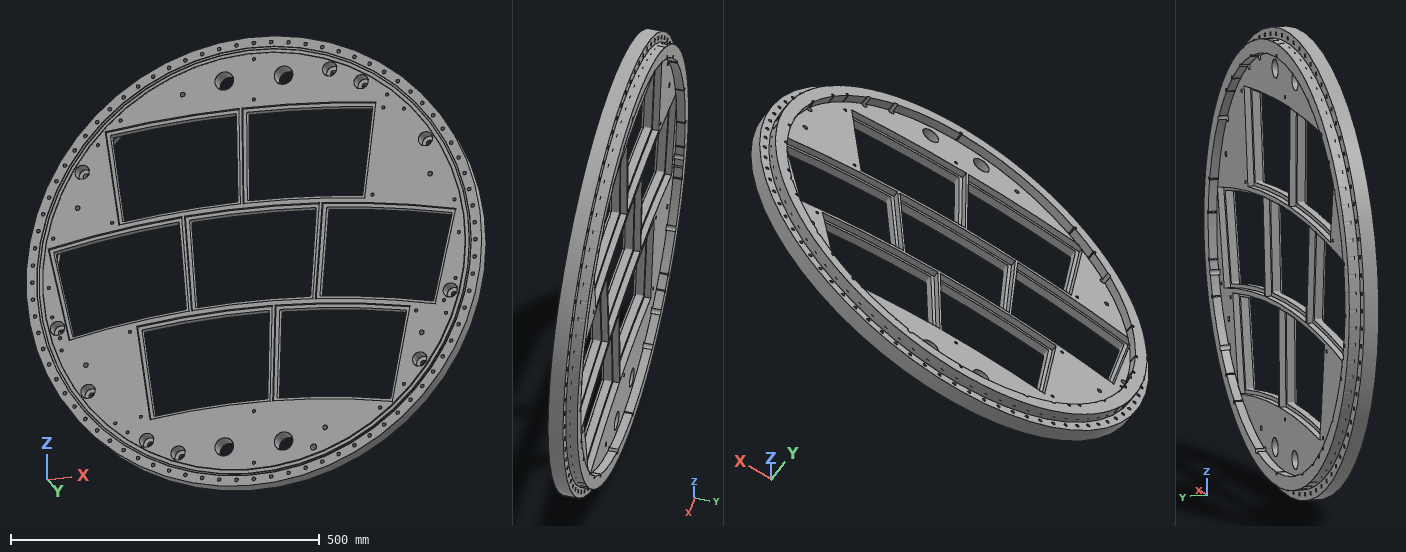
import cadquery as cq
import math


FLANGE_DIA = 770.0
FLANGE_THICKNESS = 25.5
SPIGOT_DIA = 734.0
TOTAL_THICKNESS = 45.0

RECESS_DIA = 688.0
PLATE_THICKNESS = 30.0

GROOVE_INNER_DIA = 714.0
GROOVE_OUTER_DIA = 727.0
GROOVE_DEPTH = 3.0
GROOVE_STEP_DIA = 734.0
GROOVE_STEP_DEPTH = 1.5

BOLT_COUNT = 80
BOLT_CIRCLE_RADIUS = 374.0
BOLT_HOLE_DIA = 5.8
SCALLOP_DIA = 15.5
SCALLOP_START = 32.0

ARC_CENTRE_Z = -1518.5
WINDOW_WIDTH = 204.0
WINDOW_HEIGHT = 152.0
WINDOW_PITCH = 221.0
WINDOW_CORNER_RADIUS = 2.0
ROW_PITCH = 172.0
MIDDLE_ROW_Z = 11.0
WINDOW_ROWS = [(1, 2, -21.5), (0, 3, -3.0), (-1, 2, 31.5)]
LEDGE_WIDTH = 6.0
FRONT_LEDGE_DEPTH = 5.5
BACK_LEDGE_DEPTH = 11.0

LARGE_HOLE_DIA = 31.0
LARGE_HOLE_X = 50.0
LARGE_HOLE_Z = 314.0

COUNTERBORE_CIRCLE_RADIUS = 342.0
COUNTERBORE_ANGLES = [-122, -112, -35, -14, 32, 58, 68, 148, 194, 215]
SCREW_HOLE_DIA = 10.0
COUNTERBORE_DIA = 24.0
COUNTERBORE_DEPTH = 23.0
PLAIN_SCREW_HOLE = (101.0, -329.5)

DOWEL_CIRCLE_RADIUS = 321.0
DOWEL_ANGLES = [-68, -28, 22, 112, 158, 208]
DOWEL_HOLE_DIA = 8.0

RIM_HOLE_CIRCLE_RADIUS = 346.5
RIM_HOLE_ANGLES = [
    -90, -52, -43, -20.5, -10.5, 2.5, 12, 43, 49.5,
    90, 130.5, 139.5, 168, 182, 190.5, 200.5, 227.5, 232,
]
SMALL_HOLE_DIA = 5.0
PLATE_HOLE_POINTS = [
    (0, 277.0), (219.0, 242.0), (200.0, 94.0), (-239.5, 89.0), (-209.5, -101.0),
    (274.0, -112.5), (-191.0, -249.0), (0, -258.0), (-327.0, -100.0), (321.0, -99.0),
]


def front_plane(depth):
    """Sketch plane parallel to the front face, the given depth behind it."""
    return cq.Workplane("XZ", origin=(0, depth, 0))


def cylinders(points, diameter, start, end):
    """Cylinders along Y at the given (x, z) points, from depth start to depth end."""
    return front_plane(start).pushPoints(points).circle(diameter / 2).extrude(start - end)


def polar_points(radius, angles):
    """Points on a circle about the disc axis; angles in degrees from +X toward +Z."""
    return [
        (radius * math.cos(math.radians(angle)), radius * math.sin(math.radians(angle)))
        for angle in angles
    ]


def arc_point(radius, angle):
    """Point at a radius from the window arc centre; angle in radians from +Z toward +X."""
    return (radius * math.sin(angle), ARC_CENTRE_Z + radius * math.cos(angle))


def window_sector(row_radius, angle, margin, start, end):
    """Ring sector with the window outline grown by a margin, from depth start to depth end."""
    inner = row_radius - WINDOW_HEIGHT / 2 - margin
    outer = row_radius + WINDOW_HEIGHT / 2 + margin
    half_angle = (WINDOW_WIDTH / 2 + margin) / row_radius
    left = angle - half_angle
    right = angle + half_angle
    return (
        front_plane(start)
        .moveTo(*arc_point(inner, left))
        .lineTo(*arc_point(outer, left))
        .threePointArc(arc_point(outer, angle), arc_point(outer, right))
        .lineTo(*arc_point(inner, right))
        .threePointArc(arc_point(inner, angle), arc_point(inner, left))
        .close()
        .extrude(start - end)
    )


def make_body():
    spigot = cylinders([(0, 0)], SPIGOT_DIA, 0, TOTAL_THICKNESS)
    recess = cylinders([(0, 0)], RECESS_DIA, PLATE_THICKNESS, TOTAL_THICKNESS)
    return cylinders([(0, 0)], FLANGE_DIA, 0, FLANGE_THICKNESS).union(spigot).cut(recess)


def cut_seal_groove(body):
    core = cylinders([(0, 0)], GROOVE_INNER_DIA, 0, GROOVE_DEPTH)
    step = cylinders([(0, 0)], GROOVE_STEP_DIA, 0, GROOVE_STEP_DEPTH)
    groove = cylinders([(0, 0)], GROOVE_OUTER_DIA, 0, GROOVE_DEPTH).union(step).cut(core)
    return body.cut(groove)


def cut_windows(body):
    back_ledge_start = PLATE_THICKNESS - BACK_LEDGE_DEPTH
    for row, count, shift in WINDOW_ROWS:
        row_radius = MIDDLE_ROW_Z + row * ROW_PITCH - ARC_CENTRE_Z
        for column in range(count):
            offset = shift + (column - (count - 1) / 2) * WINDOW_PITCH
            angle = offset / row_radius
            opening = window_sector(row_radius, angle, 0, 0, TOTAL_THICKNESS)
            opening = opening.edges("|Y").fillet(WINDOW_CORNER_RADIUS)
            body = body.cut(opening)
            body = body.cut(window_sector(row_radius, angle, LEDGE_WIDTH, 0, FRONT_LEDGE_DEPTH))
            body = body.cut(
                window_sector(row_radius, angle, LEDGE_WIDTH, back_ledge_start, PLATE_THICKNESS)
            )
    return body


def cut_bolt_circle(body):
    angles = [360 / BOLT_COUNT * i for i in range(BOLT_COUNT)]
    points = polar_points(BOLT_CIRCLE_RADIUS, angles)
    body = body.cut(cylinders(points, BOLT_HOLE_DIA, 0, FLANGE_THICKNESS))
    return body.cut(cylinders(points, SCALLOP_DIA, SCALLOP_START, TOTAL_THICKNESS))


def cut_through_holes(body, points, diameter):
    return body.cut(cylinders(points, diameter, 0, TOTAL_THICKNESS))


def cut_plate_holes(body):
    large_points = [(sx * LARGE_HOLE_X, sz * LARGE_HOLE_Z) for sx in (-1, 1) for sz in (-1, 1)]
    body = cut_through_holes(body, large_points, LARGE_HOLE_DIA)

    screw_points = polar_points(COUNTERBORE_CIRCLE_RADIUS, COUNTERBORE_ANGLES)
    body = cut_through_holes(body, screw_points + [PLAIN_SCREW_HOLE], SCREW_HOLE_DIA)
    body = body.cut(cylinders(screw_points, COUNTERBORE_DIA, 0, COUNTERBORE_DEPTH))

    dowel_points = polar_points(DOWEL_CIRCLE_RADIUS, DOWEL_ANGLES)
    body = cut_through_holes(body, dowel_points, DOWEL_HOLE_DIA)

    rim_points = polar_points(RIM_HOLE_CIRCLE_RADIUS, RIM_HOLE_ANGLES)
    return cut_through_holes(body, rim_points + PLATE_HOLE_POINTS, SMALL_HOLE_DIA)


result = make_body()
result = cut_seal_groove(result)
result = cut_windows(result)
result = cut_bolt_circle(result)
result = cut_plate_holes(result)